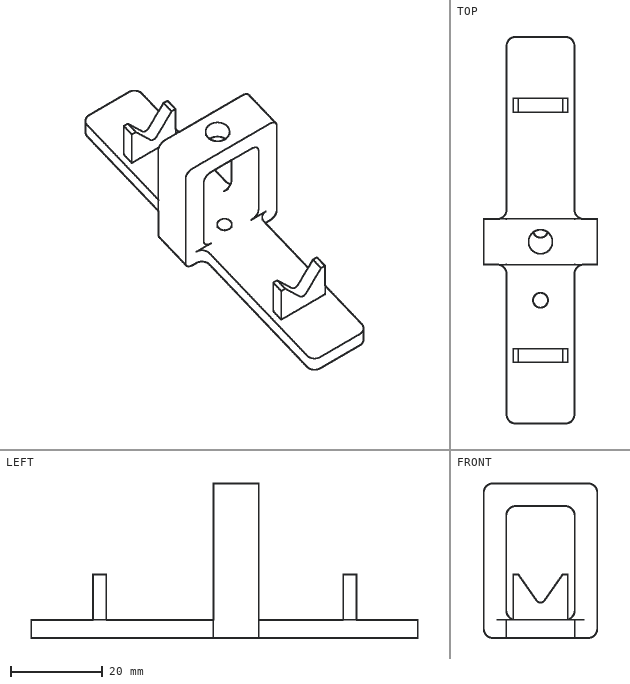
import cadquery as cq
import math

plate_length = 85.0
plate_rear_length = 45.05
plate_width = 15.0
plate_thickness = 4.0
plate_centre_y = plate_rear_length - plate_length / 2

frame_width = 25.0
frame_height = 34.0
frame_depth = 10.0
frame_top_thickness = 5.0
opening_width = plate_width
opening_height = frame_height - frame_top_thickness - plate_thickness

corner_radius = 2.0

support_width = 12.0
support_thickness = 3.0
support_height = 10.0
support_tip_width = 1.1
notch_half_angle = math.radians(35)
notch_root_radius = 1.0
support_positions_y = (30.0, -25.0)

plate_hole_diameter = 3.2
plate_hole_positions_y = (plate_centre_y, -12.8)
frame_hole_diameter = 5.3


def make_plate():
    return (
        cq.Workplane("XY")
        .center(0, plate_centre_y)
        .rect(plate_width, plate_length)
        .extrude(plate_thickness)
        .edges("|Z")
        .fillet(corner_radius)
    )


def make_frame():
    """Rounded block with a rounded opening standing on the plate's top face."""
    block = (
        cq.Workplane("XY")
        .box(frame_width, frame_depth, frame_height, centered=(True, True, False))
        .edges("|Y")
        .fillet(corner_radius)
    )
    opening = (
        cq.Workplane("XY")
        .workplane(offset=plate_thickness)
        .box(opening_width, frame_depth, opening_height, centered=(True, True, False))
        .edges("|Y")
        .fillet(corner_radius)
    )
    return block.cut(opening)


def make_joint(side_x, side_y):
    """Concave fillet filling one corner between the plate side and the frame face."""
    corner_x = side_x * plate_width / 2
    corner_y = side_y * frame_depth / 2
    outer_x = corner_x + side_x * corner_radius
    outer_y = corner_y + side_y * corner_radius
    arc_offset = corner_radius * (1 - math.sqrt(0.5))
    arc_middle = (corner_x + side_x * arc_offset, corner_y + side_y * arc_offset)
    return (
        cq.Workplane("XY")
        .moveTo(corner_x, corner_y)
        .lineTo(outer_x, corner_y)
        .threePointArc(arc_middle, (corner_x, outer_y))
        .close()
        .extrude(plate_thickness)
    )


def make_support(centre_y):
    """Upright tab with a round-bottomed V notch in its top edge."""
    half_width = support_width / 2
    notch_half_width = half_width - support_tip_width
    top = plate_thickness + support_height
    notch_depth = notch_half_width / math.tan(notch_half_angle)
    sharp_root = top - notch_depth
    root_centre = sharp_root + notch_root_radius / math.sin(notch_half_angle)
    tangent_x = notch_root_radius * math.cos(notch_half_angle)
    tangent_z = root_centre - notch_root_radius * math.sin(notch_half_angle)
    return (
        cq.Workplane("XZ", origin=(0, centre_y, 0))
        .moveTo(-half_width, 0)
        .lineTo(half_width, 0)
        .lineTo(half_width, top)
        .lineTo(notch_half_width, top)
        .lineTo(tangent_x, tangent_z)
        .threePointArc((0, root_centre - notch_root_radius), (-tangent_x, tangent_z))
        .lineTo(-notch_half_width, top)
        .lineTo(-half_width, top)
        .close()
        .extrude(support_thickness / 2, both=True)
    )


def make_hole(centre_y, diameter, bottom, depth):
    return (
        cq.Workplane("XY", origin=(0, centre_y, bottom))
        .circle(diameter / 2)
        .extrude(depth)
    )


result = make_plate().union(make_frame())

for side_x in (-1, 1):
    for side_y in (-1, 1):
        result = result.union(make_joint(side_x, side_y))

for support_y in support_positions_y:
    result = result.union(make_support(support_y))

for hole_y in plate_hole_positions_y:
    result = result.cut(make_hole(hole_y, plate_hole_diameter, 0, plate_thickness))

frame_top_underside = frame_height - frame_top_thickness
result = result.cut(make_hole(0, frame_hole_diameter, frame_top_underside, frame_top_thickness))